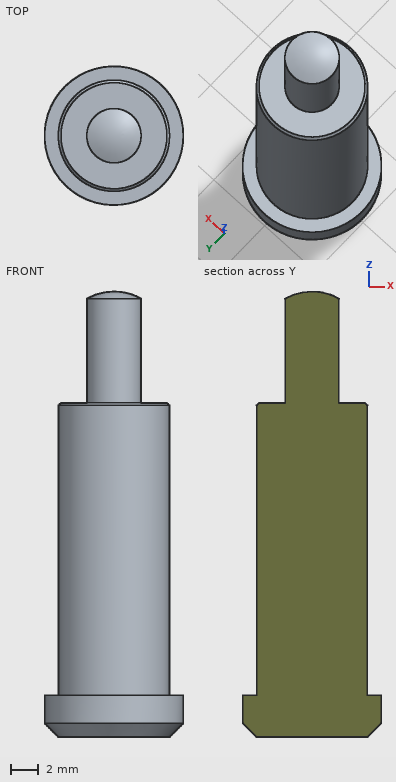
import cadquery as cq

total_height = 32.0
flange_diameter = 10.0
flange_height = 3.0
flange_chamfer = 1.0
body_diameter = 8.0
body_top = 24.0
body_chamfer = 0.2
pin_diameter = 3.9
dome_height = 0.5

flange = (
    cq.Workplane("XY")
    .circle(flange_diameter / 2)
    .extrude(flange_height)
    .faces("<Z")
    .chamfer(flange_chamfer)
)

body = (
    cq.Workplane("XY")
    .workplane(offset=flange_height)
    .circle(body_diameter / 2)
    .extrude(body_top - flange_height)
    .faces(">Z")
    .chamfer(body_chamfer)
)
pin_radius = pin_diameter / 2
dome_base = total_height - dome_height
dome_radius = (pin_radius**2 + dome_height**2) / (2 * dome_height)
dome_center_z = total_height - dome_radius
arc_mid_x = pin_radius / 2
arc_mid_z = dome_center_z + (dome_radius**2 - arc_mid_x**2) ** 0.5

pin = (
    cq.Workplane("XZ")
    .moveTo(0, body_top)
    .lineTo(pin_radius, body_top)
    .lineTo(pin_radius, dome_base)
    .threePointArc((arc_mid_x, arc_mid_z), (0, total_height))
    .close()
    .revolve(360, (0, 0), (0, 1))
)

result = flange.union(body).union(pin)